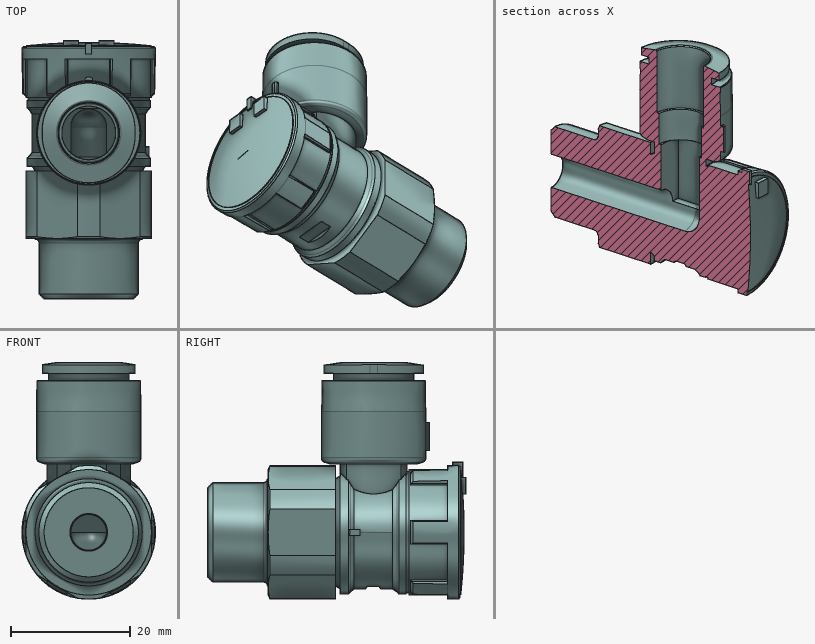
import cadquery as cq
import math


stud_front = -27.8
stud_radius = 16.66 / 2
stud_chamfer = 0.87
collar_radius = 8.97
collar_front = -17.8
collar_fillet = 0.6
collar_arc_radius = 0.66

hex_across_flats = 21.0
hex_corner_radius = 11.2
hex_front = -17.65
hex_rear = -6.36
hex_chamfer_length = 0.28

groove_front_radius = 9.0
groove_rear_radius = 9.45
ring_radius = 10.35
ring_shoulder_radius = 10.0
ring_chamfer_length = 0.35
front_ring_front = -5.6
front_ring_rear = -4.25
barrel_radius = 9.5
barrel_front = -3.3
barrel_rear = 3.16
rear_ring_front = 4.25
rear_ring_rear = 5.4
cap_gap_radius = 10.2
bottom_relief_depth = 0.4
bottom_relief_center = -0.08
bottom_relief_length = 2.0
bottom_relief_slope = 0.33

cap_front = 5.9
cap_radius = 21.0 / 2
flange_front = 12.38
flange_radius = 22.4 / 2
flange_rear = 14.2
flange_chamfer = 0.25
dome_radius = 10.4
dome_front = 14.6
dome_rear = 15.15

pad_count = 6
pad_front = 6.2
pad_base = 10.6
pad_base_width = 3.9
pad_top_width = 3.4
grip_draft = 0.15
pad_bevel = 0.4

pointer_width = 1.0
pointer_front = 13.2
pointer_rear = 14.95
pointer_top = 11.76
pointer_bottom = 9.3
overall_length = 43.24
arrow_rear = stud_front + overall_length
arrow_front = 14.3
arrow_inner_x = 1.7
arrow_outer_x = 4.25
arrow_bottom = 6.4
arrow_top = 9.2

neck_radius = 7.0
neck_half_depth = 5.6
neck_corner_inner_x = 2.97
neck_corner_outer_x = 5.33

socket_radius = 17.5 / 2
socket_bottom = 11.4
socket_foot_radius = 7.1
socket_corner_bottom = 11.72
socket_corner_radius = 8.2
socket_wall_bottom = 12.53
socket_arc_radius = 0.8
socket_taper_start = 20.23
socket_top = 25.45
socket_top_radius = 8.68
socket_top_chamfer = 0.12

sleeve_neck_radius = 13.5 / 2
sleeve_flange_bottom = 26.6
sleeve_edge_top = 27.98
sleeve_top = 28.44
sleeve_flat_radius = 5.4
sleeve_end_radius = 7.75
sleeve_end_offset = 0.6

rib_bottom = 13.68
rib_top = 18.4
rib_rear = 9.37
rib_width = 1.2
rib_tip_width = 0.5
rib_tip_depth = 0.25

key_front = -4.5
key_rear = -2.3
key_outer_x = 10.1
key_width = 1.0

tube_bore_radius = 10.0 / 2
tube_bore_chamfer = 0.18
tube_stop = 17.0
lower_bore_radius = 9.0 / 2
chamber_half_depth = 4.06
main_bore_radius = 6.0 / 2
main_bore_chamfer = 0.15
main_bore_rear = 1.0


def box(x_range, y_range, z_range):
    """Box given by its limits along the three axes."""
    size = [limits[1] - limits[0] for limits in (x_range, y_range, z_range)]
    corner = (x_range[0], y_range[0], z_range[0])
    return cq.Workplane("XY").box(*size, centered=False).translate(corner)


def cylinder_z(radius, bottom, top):
    return cq.Workplane("XY").workplane(offset=bottom).circle(radius).extrude(top - bottom)


def revolve_about_y(profile):
    return profile.close().revolve(360, (0, 0, 0), (0, 1, 0))


def revolve_about_z(profile):
    """Profile is drawn on XZ, whose local Y is the part's Z."""
    return profile.close().revolve(360, (0, 0, 0), (0, 1, 0))


def grip_radius(y):
    """Radius of the slightly drafted surface shared by the cap flange and the grip pads."""
    return flange_radius - grip_draft * (flange_rear - y) / (flange_rear - pad_front)


def make_stud():
    """Threaded end with its collar blending into the stud by a concave fillet."""
    return revolve_about_y(
        cq.Workplane("XY")
        .moveTo(0, stud_front)
        .lineTo(stud_radius - stud_chamfer, stud_front)
        .lineTo(stud_radius, stud_front + stud_chamfer)
        .lineTo(stud_radius, collar_front - collar_fillet)
        .radiusArc((collar_radius, collar_front), collar_arc_radius)
        .lineTo(collar_radius, hex_rear)
        .lineTo(0, hex_rear)
    )


def make_hexagon():
    """Hexagon with flats facing +X and -X, trimmed round at the corners and chamfered in front."""
    length = hex_rear - hex_front
    prism = (
        cq.Workplane("XZ", origin=(0, hex_rear, 0))
        .polygon(6, hex_across_flats / math.cos(math.pi / 6))
        .extrude(length)
        .rotate((0, 0, 0), (0, 1, 0), 30)
    )
    trim = revolve_about_y(
        cq.Workplane("XY")
        .moveTo(0, hex_front)
        .lineTo(hex_across_flats / 2, hex_front)
        .lineTo(hex_corner_radius, hex_front + hex_chamfer_length)
        .lineTo(hex_corner_radius, hex_rear)
        .lineTo(0, hex_rear)
    )
    return prism.intersect(trim)


def make_barrel():
    """Turned body from the hexagon to the rear of the domed cap."""
    flange_face = flange_rear + flange_chamfer
    dome_mid_radius = dome_radius / 2
    dome_mid = dome_front + (dome_rear - dome_front) * 3 / 4
    return revolve_about_y(
        cq.Workplane("XY")
        .moveTo(0, hex_rear)
        .lineTo(groove_front_radius, hex_rear)
        .lineTo(groove_rear_radius, front_ring_front)
        .lineTo(ring_radius, front_ring_front)
        .lineTo(ring_radius, front_ring_rear)
        .lineTo(ring_shoulder_radius, front_ring_rear + ring_chamfer_length)
        .lineTo(barrel_radius, barrel_front)
        .lineTo(barrel_radius, barrel_rear)
        .lineTo(ring_shoulder_radius, rear_ring_front - ring_chamfer_length)
        .lineTo(ring_radius, rear_ring_front)
        .lineTo(ring_radius, rear_ring_rear)
        .lineTo(cap_gap_radius, rear_ring_rear)
        .lineTo(cap_gap_radius, cap_front)
        .lineTo(cap_radius, cap_front)
        .lineTo(cap_radius, flange_front)
        .lineTo(grip_radius(flange_front), flange_front)
        .lineTo(flange_radius, flange_rear)
        .lineTo(flange_radius - flange_chamfer, flange_face)
        .lineTo(dome_radius, flange_face)
        .lineTo(dome_radius, dome_front)
        .threePointArc((dome_mid_radius, dome_mid), (0, dome_rear))
    )


def make_bottom_relief():
    """Shallow trough with sloped ends across the underside of the barrel."""
    half = bottom_relief_length / 2
    floor = -barrel_radius + bottom_relief_depth
    return (
        cq.Workplane("YZ")
        .moveTo(bottom_relief_center - half, floor)
        .lineTo(bottom_relief_center + half, floor)
        .lineTo(bottom_relief_center + half + bottom_relief_slope, -barrel_radius)
        .lineTo(bottom_relief_center - half - bottom_relief_slope, -barrel_radius)
        .close()
        .extrude(barrel_radius, both=True)
    )


def make_pad(index):
    """Grip pad with bevelled sides and front end, its outer face continuing the cap flange."""
    pad = (
        cq.Workplane("XZ", origin=(0, flange_front, 0))
        .moveTo(0, -pad_base_width / 2)
        .lineTo(pad_base, -pad_base_width / 2)
        .lineTo(flange_radius, -pad_top_width / 2)
        .lineTo(flange_radius, pad_top_width / 2)
        .lineTo(pad_base, pad_base_width / 2)
        .lineTo(0, pad_base_width / 2)
        .close()
        .extrude(flange_front - pad_front)
    )
    trim = revolve_about_y(
        cq.Workplane("XY")
        .moveTo(0, pad_front)
        .lineTo(pad_base, pad_front)
        .lineTo(grip_radius(pad_front + pad_bevel), pad_front + pad_bevel)
        .lineTo(grip_radius(flange_front), flange_front)
        .lineTo(0, flange_front)
    )
    return pad.intersect(trim).rotate((0, 0, 0), (0, 1, 0), index * 360 / pad_count)


def make_cap_marks():
    """Pointer over the top edge of the cap and two arrow blocks on its rear face."""
    marks = box(
        (-pointer_width / 2, pointer_width / 2),
        (pointer_front, pointer_rear),
        (pointer_bottom, pointer_top),
    )
    arrow = box(
        (arrow_inner_x, arrow_outer_x),
        (arrow_front, arrow_rear),
        (arrow_bottom, arrow_top),
    )
    return marks.union(arrow).union(arrow.mirror("YZ"))


def make_neck():
    """Round neck flattened at front and rear, with slanted corners."""
    round_neck = cylinder_z(neck_radius, 0, socket_bottom)
    corner_y = math.sqrt(neck_radius**2 - neck_corner_outer_x**2)
    quarter = [
        (neck_radius, 0),
        (neck_radius, corner_y),
        (neck_corner_outer_x, corner_y),
        (neck_corner_inner_x, neck_half_depth),
    ]
    upper = quarter + [(-x, y) for x, y in reversed(quarter)]
    lower = [(-x, -y) for x, y in upper[1:-1]]
    outline = cq.Workplane("XY").polyline(upper + lower).close().extrude(socket_bottom)
    return round_neck.intersect(outline)


def make_socket():
    """Socket body with a rounded foot and a slightly tapered upper half."""
    return revolve_about_z(
        cq.Workplane("XZ")
        .moveTo(0, socket_bottom)
        .lineTo(socket_foot_radius, socket_bottom)
        .lineTo(socket_corner_radius, socket_corner_bottom)
        .radiusArc((socket_radius, socket_wall_bottom), -socket_arc_radius)
        .lineTo(socket_radius, socket_taper_start)
        .lineTo(socket_top_radius, socket_top - socket_top_chamfer)
        .lineTo(socket_top_radius - socket_top_chamfer, socket_top)
        .lineTo(sleeve_neck_radius, socket_top)
        .lineTo(sleeve_neck_radius, sleeve_flange_bottom)
        .lineTo(0, sleeve_flange_bottom)
    )


def make_sleeve_flange():
    """Oblong release flange, longer along Y, with a conical top."""
    height = sleeve_top - sleeve_flange_bottom
    oblong = (
        cq.Workplane("XY")
        .workplane(offset=sleeve_flange_bottom)
        .slot2D(2 * (sleeve_end_radius + sleeve_end_offset), 2 * sleeve_end_radius, 90)
        .extrude(height)
    )
    rim_radius = sleeve_end_radius + sleeve_end_offset
    cone = revolve_about_z(
        cq.Workplane("XZ")
        .moveTo(0, sleeve_flange_bottom)
        .lineTo(rim_radius, sleeve_flange_bottom)
        .lineTo(rim_radius, sleeve_edge_top)
        .lineTo(sleeve_flat_radius, sleeve_top)
        .lineTo(0, sleeve_top)
    )
    return oblong.intersect(cone)


def make_socket_rib():
    """Short upright rib with a narrowed tip on the rear of the socket."""
    root = socket_radius - rib_tip_depth
    shoulder = rib_rear - rib_tip_depth
    return (
        cq.Workplane("XY")
        .workplane(offset=rib_bottom)
        .moveTo(-rib_width / 2, root)
        .lineTo(-rib_width / 2, shoulder)
        .lineTo(-rib_tip_width / 2, rib_rear)
        .lineTo(rib_tip_width / 2, rib_rear)
        .lineTo(rib_width / 2, shoulder)
        .lineTo(rib_width / 2, root)
        .close()
        .extrude(rib_top - rib_bottom)
    )


def make_ring_key():
    """Small key on the +X side of the front ring."""
    return box((barrel_radius / 2, key_outer_x), (key_front, key_rear), (-key_width / 2, key_width / 2))


def make_tube_bore():
    """Chamfered tube bore down to the tube stop, a narrower bore, and a flat-sided chamber in the neck."""
    upper = revolve_about_z(
        cq.Workplane("XZ")
        .moveTo(0, tube_stop)
        .lineTo(tube_bore_radius, tube_stop)
        .lineTo(tube_bore_radius, sleeve_top - tube_bore_chamfer)
        .lineTo(tube_bore_radius + tube_bore_chamfer, sleeve_top)
        .lineTo(0, sleeve_top)
    )
    lower = cylinder_z(lower_bore_radius, socket_bottom, tube_stop)
    chamber = box(
        (-lower_bore_radius, lower_bore_radius),
        (-chamber_half_depth, chamber_half_depth),
        (0, socket_bottom),
    )
    return upper.union(lower).union(chamber)


def make_main_bore():
    """Bore along Y from the stud end, closed by a hemisphere."""
    tip = main_bore_rear + main_bore_radius
    arc_reach = main_bore_radius * math.sqrt(0.5)
    return revolve_about_y(
        cq.Workplane("XY")
        .moveTo(0, stud_front)
        .lineTo(main_bore_radius + main_bore_chamfer, stud_front)
        .lineTo(main_bore_radius, stud_front + main_bore_chamfer)
        .lineTo(main_bore_radius, main_bore_rear)
        .threePointArc((arc_reach, main_bore_rear + arc_reach), (0, tip))
    )


barrel = make_barrel().cut(make_bottom_relief())
for pad_index in range(pad_count):
    barrel = barrel.union(make_pad(pad_index))

result = (
    barrel.union(make_stud())
    .union(make_hexagon())
    .union(make_cap_marks())
    .union(make_neck())
    .union(make_socket())
    .union(make_sleeve_flange())
    .union(make_socket_rib())
    .union(make_ring_key())
    .cut(make_tube_bore())
    .cut(make_main_bore())
)